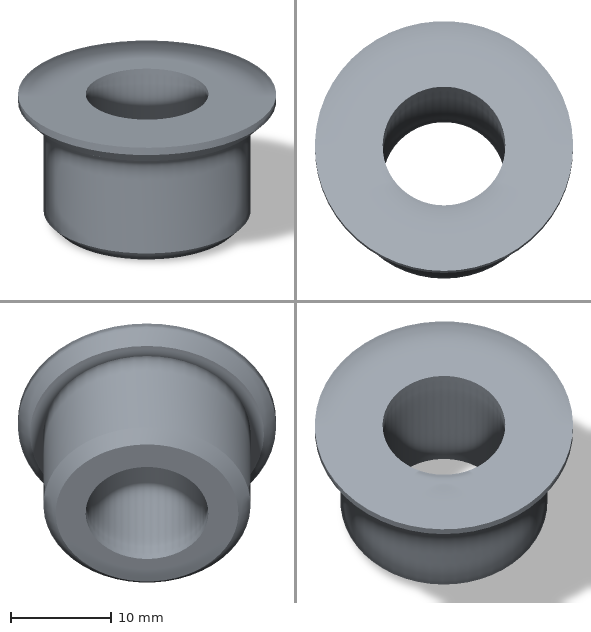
import cadquery as cq

total_height = 13.93
flange_diameter = 25.7
flange_thickness = 2.0
body_diameter = 20.6
bore_diameter = 12.2
edge_chamfer = 1.2

body = (
    cq.Workplane("XY")
    .circle(body_diameter / 2)
    .extrude(total_height)
    .faces("<Z")
    .edges()
    .chamfer(edge_chamfer)
)

flange = (
    cq.Workplane("XY")
    .workplane(offset=total_height - flange_thickness)
    .circle(flange_diameter / 2)
    .extrude(flange_thickness)
    .faces("<Z")
    .edges()
    .chamfer(edge_chamfer)
)

bore = cq.Workplane("XY").circle(bore_diameter / 2).extrude(total_height)

result = body.union(flange).cut(bore)